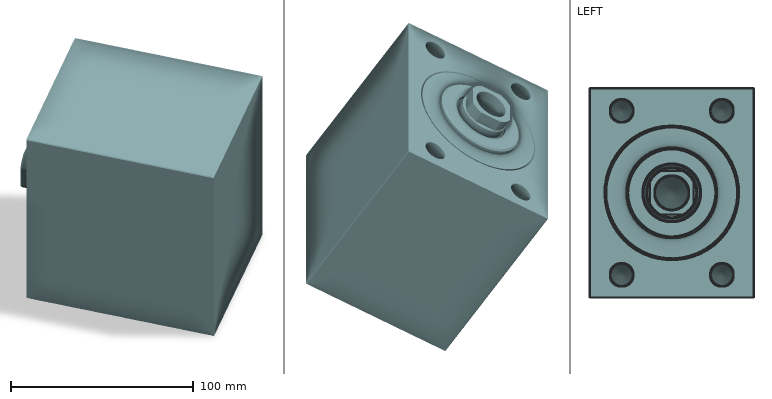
import cadquery as cq
import math

length = 121.5
width = 90.0
height = 115.0

housing_front = 13.7
housing_edge_chamfer = 0.5
bolt_spacing_y = 55.0
bolt_spacing_z = 90.0
bolt_hole_diameter = 12.4
bolt_hole_chamfer = 0.3
bolt_hole_depth = 30.4

gland_diameter = 71.9
gland_depth = 24.3
gland_seat_chamfer = 1.0
collar_front = 10.5
collar_diameter = 49.8
collar_chamfer = 1.0
wiper_recess_diameter = 31.2
wiper_recess_depth = 1.7
wiper_recess_chamfer = 0.5

rod_diameter = 28.0
rod_chamfer = 0.5
rod_shoulder = 6.8
rod_end = 72.9
wrench_diameter = rod_diameter - 2 * rod_chamfer
wrench_flats = 23.9
rod_hole_diameter = 18.6
rod_hole_chamfer = 0.3
rod_hole_depth = 36.5

drill_point_angle = 118.0


def cylinder_along_x(diameter, start, end):
    """Cylinder on the rod axis between two X positions."""
    return cq.Workplane("YZ").workplane(offset=start).circle(diameter / 2).extrude(end - start)


def countersink(diameter, start, chamfer):
    """Cutter on the rod axis: a 45 degree chamfer around the mouth of a round opening."""
    cone = cq.Solid.makeCone(
        diameter / 2 + chamfer,
        diameter / 2,
        chamfer,
        pnt=cq.Vector(start, 0, 0),
        dir=cq.Vector(1, 0, 0),
    )
    return cq.Workplane(cone)


def drilled_hole(diameter, start, depth, chamfer):
    """Cutter on the rod axis: a hole with a chamfered mouth and a conical drill point."""
    radius = diameter / 2
    point_length = radius / math.tan(math.radians(drill_point_angle / 2))
    return (
        cq.Workplane("XY")
        .moveTo(start, 0)
        .lineTo(start, radius + chamfer)
        .lineTo(start + chamfer, radius)
        .lineTo(start + depth, radius)
        .lineTo(start + depth + point_length, 0)
        .close()
        .revolve(360, (0, 0, 0), (1, 0, 0))
    )


def make_housing():
    """Block with a chamfered gland seat, a rod bore and four bolt holes."""
    block = (
        cq.Workplane("XY")
        .box(length - housing_front, width, height, centered=(False, True, True))
        .translate((housing_front, 0, 0))
        .edges("|X")
        .chamfer(housing_edge_chamfer)
    )
    seat_end = housing_front + gland_depth
    seat = cylinder_along_x(gland_diameter, housing_front, seat_end)
    seat_mouth = countersink(gland_diameter, housing_front, gland_seat_chamfer)
    rod_bore = cylinder_along_x(rod_diameter, seat_end, rod_end)
    block = block.cut(seat).cut(seat_mouth).cut(rod_bore)

    bolt_hole = drilled_hole(bolt_hole_diameter, housing_front, bolt_hole_depth, bolt_hole_chamfer)
    for side_y in (-1, 1):
        for side_z in (-1, 1):
            place = (0, side_y * bolt_spacing_y / 2, side_z * bolt_spacing_z / 2)
            block = block.cut(bolt_hole.translate(place))
    return block


def make_gland():
    """Disc with a raised chamfered collar, bored for the rod, with a shallow wiper recess."""
    disc = cylinder_along_x(gland_diameter, housing_front, housing_front + gland_depth)
    collar = (
        cylinder_along_x(collar_diameter, collar_front, housing_front)
        .faces("<X")
        .chamfer(collar_chamfer)
    )
    bore = cylinder_along_x(rod_diameter, collar_front, housing_front + gland_depth)
    recess = cylinder_along_x(wiper_recess_diameter, collar_front, collar_front + wiper_recess_depth)
    recess_mouth = countersink(wiper_recess_diameter, collar_front, wiper_recess_chamfer)
    return disc.union(collar).cut(bore).cut(recess).cut(recess_mouth)


def make_rod():
    """Rod with a chamfered shoulder, four wrench flats at its tip and a blind axial hole."""
    shaft = cylinder_along_x(rod_diameter, rod_shoulder, rod_end).faces("<X").chamfer(rod_chamfer)
    flats = cq.Workplane("YZ").rect(wrench_flats, wrench_flats).extrude(rod_shoulder)
    wrench_end = cylinder_along_x(wrench_diameter, 0, rod_shoulder).intersect(flats)
    hole = drilled_hole(rod_hole_diameter, 0, rod_hole_depth, rod_hole_chamfer)
    return shaft.union(wrench_end).cut(hole)


housing = make_housing()
gland = make_gland()
rod = make_rod()

result = cq.Compound.makeCompound([housing.val(), gland.val(), rod.val()])